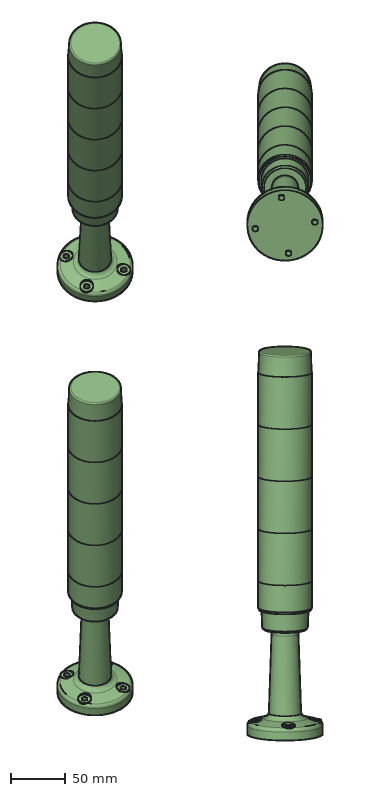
import cadquery as cq

TOTAL_HEIGHT = 359.5
FOOT_RIM_HEIGHT = 8.3
FOOT_SHOULDER_HEIGHT = 12.0
FOOT_CONE_TOP = 15.0
POLE_BOTTOM = 19.5
NECK_BOTTOM = 94.0
COLLAR_BOTTOM = 98.0
COLLAR_TOP = 116.5
MODULE_COUNT = 4
MODULE_HEIGHT = 49.0
CAP_HEIGHT = 20.0
CAP_BOTTOM = TOTAL_HEIGHT - CAP_HEIGHT
STAND_TOP = CAP_BOTTOM - MODULE_COUNT * MODULE_HEIGHT

FOOT_RADIUS = 35.0
FOOT_SHOULDER_RADIUS = 32.5
FOOT_CONE_TOP_RADIUS = 20.0
POLE_BOTTOM_RADIUS = 15.0
POLE_TOP_RADIUS = 12.5
NECK_RADIUS = 12.2
COLLAR_BOTTOM_RADIUS = 21.2
COLLAR_TOP_RADIUS = 22.0
COLLAR_CHAMFER = 1.8
MODULE_DIAMETER = 50.0
MODULE_RADIUS = MODULE_DIAMETER / 2
SOCKET_CHAMFER_WIDTH = 1.0
SOCKET_CHAMFER_HEIGHT = 2.0
CAP_BOTTOM_RADIUS = 24.8
CAP_TOP_RADIUS = 24.0
CAP_EDGE_RADIUS = 1.5

SCREW_COUNT = 4
SCREW_START_ANGLE = 45
SCREW_CIRCLE_RADIUS = 27.5
SCREW_HOLE_DIAMETER = 5.5
SEAT_DIAMETER = 12.2
SEAT_HEIGHT = 12.5


def make_stand():
    """Foot, tapered pole, collar and socket, turned as one solid."""
    profile = (
        cq.Workplane("XZ")
        .moveTo(0, 0)
        .lineTo(FOOT_RADIUS, 0)
        .lineTo(FOOT_RADIUS, FOOT_RIM_HEIGHT)
        .tangentArcPoint((FOOT_SHOULDER_RADIUS, FOOT_SHOULDER_HEIGHT), relative=False)
        .lineTo(FOOT_CONE_TOP_RADIUS, FOOT_CONE_TOP)
        .tangentArcPoint((POLE_BOTTOM_RADIUS, POLE_BOTTOM), relative=False)
        .lineTo(POLE_TOP_RADIUS, NECK_BOTTOM)
        .lineTo(NECK_RADIUS, COLLAR_BOTTOM)
        .lineTo(COLLAR_BOTTOM_RADIUS - COLLAR_CHAMFER, COLLAR_BOTTOM)
        .lineTo(COLLAR_BOTTOM_RADIUS, COLLAR_BOTTOM + COLLAR_CHAMFER)
        .lineTo(COLLAR_TOP_RADIUS, COLLAR_TOP)
        .lineTo(MODULE_RADIUS - SOCKET_CHAMFER_WIDTH, COLLAR_TOP)
        .lineTo(MODULE_RADIUS, COLLAR_TOP + SOCKET_CHAMFER_HEIGHT)
        .lineTo(MODULE_RADIUS, STAND_TOP)
        .lineTo(0, STAND_TOP)
        .close()
    )
    turned = profile.revolve(360, (0, 0, 0), (0, 1, 0))
    return add_screw_seats(turned)


def screw_cylinders(diameter, bottom, top):
    """One upright cylinder at each screw place, between two heights."""
    return (
        cq.Workplane("XY", origin=(0, 0, bottom))
        .polarArray(SCREW_CIRCLE_RADIUS, SCREW_START_ANGLE, 360, SCREW_COUNT)
        .circle(diameter / 2)
        .extrude(top - bottom)
    )


def add_screw_seats(stand):
    """Level round seats, sunk into the cone on the inside and raised above it on the outside."""
    raised = screw_cylinders(SEAT_DIAMETER, FOOT_RIM_HEIGHT, SEAT_HEIGHT)
    sunk = screw_cylinders(SEAT_DIAMETER, SEAT_HEIGHT, POLE_BOTTOM)
    holes = screw_cylinders(SCREW_HOLE_DIAMETER, 0, POLE_BOTTOM)
    return stand.union(raised).cut(sunk).cut(holes)


def make_module(index):
    """One plain cylindrical light module, counted upward from the socket."""
    bottom = STAND_TOP + index * MODULE_HEIGHT
    return cq.Workplane("XY", origin=(0, 0, bottom)).circle(MODULE_RADIUS).extrude(MODULE_HEIGHT)


def make_cap():
    """Slightly tapered cap with a rounded top edge."""
    return (
        cq.Workplane("XZ")
        .moveTo(0, CAP_BOTTOM)
        .lineTo(CAP_BOTTOM_RADIUS, CAP_BOTTOM)
        .lineTo(CAP_TOP_RADIUS, TOTAL_HEIGHT - CAP_EDGE_RADIUS)
        .tangentArcPoint((CAP_TOP_RADIUS - CAP_EDGE_RADIUS, TOTAL_HEIGHT), relative=False)
        .lineTo(0, TOTAL_HEIGHT)
        .close()
        .revolve(360, (0, 0, 0), (0, 1, 0))
    )


stand = make_stand()
modules = [make_module(index) for index in range(MODULE_COUNT)]
cap = make_cap()
result = cq.Compound.makeCompound([stand.val(), *[module.val() for module in modules], cap.val()])